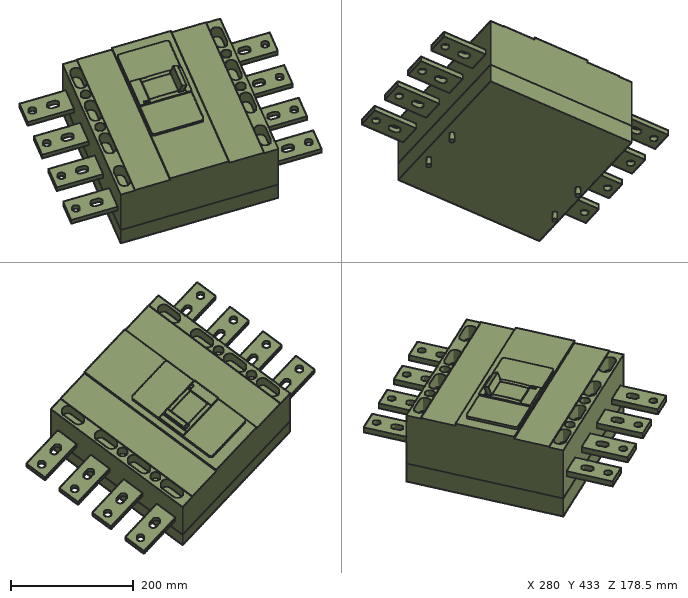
import cadquery as cq
import math


overall_length = 433.0
body_width = 280.0
body_length = 273.0
base_height = 37.0

pole_count = 4
pole_pitch = body_width / pole_count
pole_xs = [(i - (pole_count - 1) / 2) * pole_pitch for i in range(pole_count)]
terminal_width = 40.0
terminal_thickness = 10.5
terminal_reach = (overall_length - body_length) / 2
front_terminal_z = 71.5
rear_terminal_z = 68.5
terminal_hole_dia = 13.0
terminal_hole_inset = 15.0
terminal_slot_length = 21.0
terminal_slot_inset = 51.0

ledge_z = 134.2
shoulder_z = 135.5
band_z = 140.0
ledge_depth = 24.5
band_half_length = 51.0

toggle_x = pole_xs[1]
plate_width = 171.0
plate_height = 4.8
plate_rear_y = 40.3
plate_front_y = -49.5
plate_length = plate_rear_y - plate_front_y
plate_y = (plate_rear_y + plate_front_y) / 2
plate_corner_radius = 4.8
plate_z = band_z + plate_height
strip_width = 51.0
strip_height = 3.0
strip_z = plate_z + strip_height

window_half_length = 31.0
arch_radius = 411.5
slider_width = 37.0
slider_half_length = 30.5
slider_rise = 0.5

button_width = 4.5
button_length = 7.0
button_depth = 1.0
button_edge_gap = 1.5
button_y = -37.5

lever_width = 42.5
lever_thickness = 8.2
lever_tilt = 20.0
lever_y = 24.0
lever_length = 14.7
lever_root = 4.5

recess_depth = 26.0
recess_inset = 14.7
recess_y = body_length / 2 - recess_inset
access_width = 42.5
access_depth = 19.5
screw_xs = [-pole_pitch, 0.0]
screw_head_dia = 16.5
screw_head_height = 8.5
screw_head_round = 5.5
screw_shank_dia = 8.2
screw_protrusion = 15.5
screw_seat_z = ledge_z - recess_depth

screw_points = [(x, y) for x in screw_xs for y in (-recess_y, recess_y)]
access_points = [(x, y) for x in pole_xs for y in (-recess_y, recess_y)]


def block(width, y_min, y_max, z_min, z_max, x_center=0.0):
    """Box centred on x_center in X and spanning the given Y and Z limits."""
    corner = (x_center - width / 2, y_min, z_min)
    return cq.Workplane("XY").box(width, y_max - y_min, z_max - z_min, centered=False).translate(corner)


def arch(width, half_length, apex_z, floor_z):
    """Block on the toggle axis with a shallow convex arched top, rounded about the X axis."""
    end_z = apex_z - arch_radius + math.sqrt(arch_radius**2 - half_length**2)
    return (
        cq.Workplane("YZ", origin=(toggle_x - width / 2, 0, 0))
        .moveTo(-half_length, floor_z)
        .lineTo(-half_length, end_z)
        .threePointArc((0, apex_z), (half_length, end_z))
        .lineTo(half_length, floor_z)
        .close()
        .extrude(width)
    )


def make_terminal(side, z_bottom):
    """Drilled and slotted bar on the axis X = 0; side is +1 at the rear and -1 at the front."""
    tip_y = side * overall_length / 2
    root_y = tip_y - side * terminal_reach
    y_min, y_max = sorted((root_y, tip_y))
    bar = block(terminal_width, y_min, y_max, z_bottom, z_bottom + terminal_thickness)
    hole = (
        cq.Workplane("XY", origin=(0, tip_y - side * terminal_hole_inset, z_bottom))
        .circle(terminal_hole_dia / 2)
        .extrude(terminal_thickness)
    )
    slot = (
        cq.Workplane("XY", origin=(0, tip_y - side * terminal_slot_inset, z_bottom))
        .slot2D(terminal_slot_length, terminal_hole_dia, 90)
        .extrude(terminal_thickness)
    )
    return bar.cut(hole).cut(slot)


def make_shell():
    """Stepped body of the cover: low end ledges, a shoulder and a raised centre band."""
    half = body_length / 2
    shoulder = half - ledge_depth
    shell = block(body_width, -half, half, base_height, ledge_z)
    shell = shell.union(block(body_width, -shoulder, shoulder, base_height, shoulder_z))
    return shell.union(block(body_width, -band_half_length, band_half_length, base_height, band_z))


def make_face_plate():
    """Rounded face plate with the raised strip, its arched window, slider and button recess."""
    plate = (
        cq.Workplane("XY", origin=(toggle_x, plate_y, band_z))
        .rect(plate_width, plate_length)
        .extrude(plate_height)
        .edges("|Z")
        .fillet(plate_corner_radius)
    )
    strip = block(strip_width, plate_front_y, plate_rear_y, plate_z, strip_z, toggle_x)
    window = block(strip_width, -window_half_length, window_half_length, plate_z, strip_z, toggle_x)
    window_floor = arch(strip_width, window_half_length, strip_z, plate_z)
    slider = arch(slider_width, slider_half_length, strip_z + slider_rise, plate_z)
    button_x = toggle_x + strip_width / 2 - button_edge_gap - button_width / 2
    button = block(
        button_width,
        button_y - button_length / 2,
        button_y + button_length / 2,
        strip_z - button_depth,
        strip_z,
        button_x,
    )
    strip = strip.cut(window).cut(button).union(window_floor).union(slider)
    return plate.union(strip)


def make_lever():
    """Toggle lever leaning towards the rear, rooted in the slider."""
    lever = block(lever_width, -lever_thickness / 2, lever_thickness / 2, -lever_root, lever_length)
    return lever.rotate((0, 0, 0), (1, 0, 0), -lever_tilt).translate((toggle_x, lever_y, strip_z))


def make_cover():
    """Cover with its terminals and lever, bored for the screws and recessed over each terminal."""
    cover = make_shell().union(make_face_plate()).union(make_lever())
    for x in pole_xs:
        cover = cover.union(make_terminal(-1, front_terminal_z).translate((x, 0, 0)))
        cover = cover.union(make_terminal(1, rear_terminal_z).translate((x, 0, 0)))
    recess_plane = cq.Workplane("XY", origin=(0, 0, screw_seat_z))
    access = recess_plane.pushPoints(access_points).slot2D(access_width, access_depth).extrude(recess_depth)
    head_bores = recess_plane.pushPoints(screw_points).circle(screw_head_dia / 2).extrude(recess_depth)
    shank_bores = (
        cq.Workplane("XY", origin=(0, 0, base_height))
        .pushPoints(screw_points)
        .circle(screw_shank_dia / 2)
        .extrude(screw_seat_z - base_height)
    )
    return cover.cut(access).cut(head_bores).cut(shank_bores)


def make_base():
    """Plain rectangular base with a bore for each screw shank."""
    base = block(body_width, -body_length / 2, body_length / 2, 0, base_height)
    bores = cq.Workplane("XY").pushPoints(screw_points).circle(screw_shank_dia / 2).extrude(base_height)
    return base.cut(bores)


def make_screw(x, y):
    """Dome-headed screw seated in the cover and projecting below the base."""
    head = (
        cq.Workplane("XY", origin=(x, y, screw_seat_z))
        .circle(screw_head_dia / 2)
        .extrude(screw_head_height)
        .faces(">Z")
        .edges()
        .fillet(screw_head_round)
    )
    shank = (
        cq.Workplane("XY", origin=(x, y, -screw_protrusion))
        .circle(screw_shank_dia / 2)
        .extrude(screw_protrusion + screw_seat_z)
    )
    return head.union(shank)


base = make_base()
cover = make_cover()
screws = [make_screw(x, y) for x, y in screw_points]

bodies = [base, cover, *screws]
result = cq.Compound.makeCompound([body.solids().val() for body in bodies])